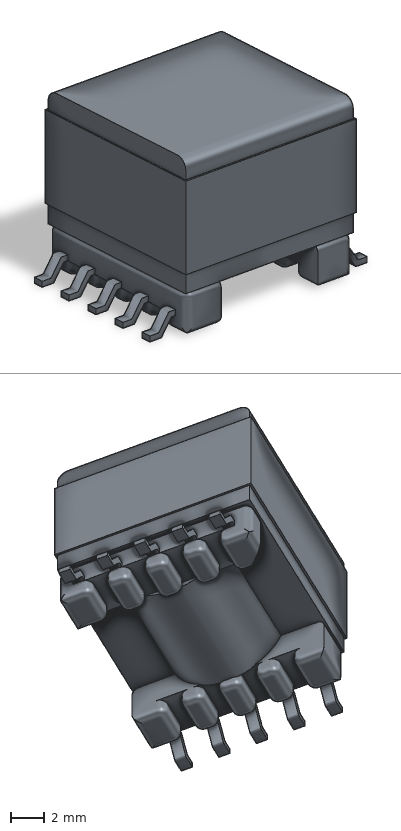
import cadquery as cq
import math

lead_reach = 8.58
total_height = 11.96

core_width = 12.82
core_depth = 13.23
core_bottom = 2.99
core_top_radius = 0.77
band_width = 13.1
band_depth = 13.45
band_bottom = 4.35
band_top = 10.59

bobbin_depth = 13.11
flange_inner_y = 3.81
flange_bottom = 1.13
foot_bottom = 0.1
edge_radius = 0.51
pin_one_chamfer = 1.3
coil_radius = 3.86
coil_bottom = 0.69

leads_per_side = 5
lead_pitch = 2.5
foot_width = 1.5
lead_width = 0.74
lead_thickness = 0.4
lead_rise = 1.15
pad_length = 0.7
slope_run = 0.79
bend_radius = 0.15

overlap = 0.09

lead_positions = [(i - (leads_per_side - 1) / 2) * lead_pitch for i in range(leads_per_side)]


def block(x_min, x_max, y_min, y_max, z_min, z_max):
    """Box given by its limits along each axis."""
    size = (x_max - x_min, y_max - y_min, z_max - z_min)
    return cq.Workplane("XY").box(*size, centered=False).translate((x_min, y_min, z_min))


def centered_block(width, depth, z_min, z_max):
    """Box centred on the Z axis."""
    return block(-width / 2, width / 2, -depth / 2, depth / 2, z_min, z_max)


def make_core():
    """Core block, rounded along its two long top edges, with the band around it."""
    core = centered_block(core_width, core_depth, core_bottom, total_height)
    core = core.edges("|Y and >Z").fillet(core_top_radius)
    return core.union(centered_block(band_width, band_depth, band_bottom, band_top))


def make_coil():
    """Cylinder along Y between the flanges; its upper part is hidden in the core."""
    coil = cq.Workplane("XZ").circle(coil_radius).extrude(flange_inner_y + overlap, both=True)
    coil = coil.translate((0, 0, coil_bottom + coil_radius))
    return coil.intersect(centered_block(core_width, core_depth, 0, core_bottom + overlap))


def make_bobbin_envelope():
    """Outer limits of the bobbin: ball corners at the top, mitred roundings at the bottom."""
    blank = centered_block(core_width, bobbin_depth, foot_bottom, core_bottom)
    envelope = blank.edges("|Z or >Z").fillet(edge_radius)
    return envelope.intersect(blank.edges("|Y and <Z").fillet(edge_radius))


def make_foot(x_min, x_max):
    """Foot of the -Y flange, rounded along its upright and bottom edges."""
    foot = block(x_min, x_max, -bobbin_depth / 2, -flange_inner_y,
                 foot_bottom, flange_bottom + overlap)
    return foot.edges("|Z or <Z").fillet(edge_radius)


def make_end_foot():
    """Foot at the +X end; its outer part runs past the bobbin and is trimmed by the envelope."""
    inner_x = lead_positions[-1] - foot_width / 2
    return make_foot(inner_x, core_width / 2 + 2 * edge_radius)


def make_flange():
    """-Y flange with its row of feet."""
    flange = block(-core_width / 2, core_width / 2, -bobbin_depth / 2, -flange_inner_y,
                   flange_bottom, core_bottom)
    for x in lead_positions[1:-1]:
        flange = flange.union(make_foot(x - foot_width / 2, x + foot_width / 2))
    end_foot = make_end_foot()
    flange = flange.union(end_foot).union(end_foot.mirror("YZ"))
    return flange.intersect(make_bobbin_envelope())


def cut_pin_one_chamfer(flange):
    """Cut the upright inner corner at the -X end of the +Y flange at 45 degrees."""
    corner = cq.Workplane("XY").moveTo(-core_width / 2, flange_inner_y)
    corner = corner.line(pin_one_chamfer, 0).line(-pin_one_chamfer, pin_one_chamfer).close()
    return flange.cut(corner.extrude(core_bottom))


def make_lead(x):
    """Gull-wing lead on the -Y side, centred at x."""
    slope_angle = math.atan2(lead_rise, slope_run)
    miter = lead_thickness * math.tan(slope_angle / 2)
    bend_start = -lead_reach + pad_length
    bend_end = bend_start + slope_run
    root = -bobbin_depth / 2 + overlap
    outline = [
        (-lead_reach, 0),
        (bend_start + miter, 0),
        (bend_end + miter, lead_rise),
        (root, lead_rise),
        (root, lead_rise + lead_thickness),
        (bend_end, lead_rise + lead_thickness),
        (bend_start, lead_thickness),
        (-lead_reach, lead_thickness),
    ]
    lead = cq.Workplane("YZ").polyline(outline).close().extrude(lead_width / 2, both=True)
    between_ends = cq.selectors.BoxSelector(
        (-lead_width, -lead_reach + overlap, -overlap),
        (lead_width, root - overlap, total_height),
    )
    bends = lead.edges("|X").edges(between_ends)
    return bends.fillet(bend_radius).translate((x, 0, 0))


flange = make_flange()
result = make_core().union(make_coil()).union(flange)
result = result.union(cut_pin_one_chamfer(flange.mirror("XZ")))
for x in lead_positions:
    lead = make_lead(x)
    result = result.union(lead).union(lead.mirror("XZ"))